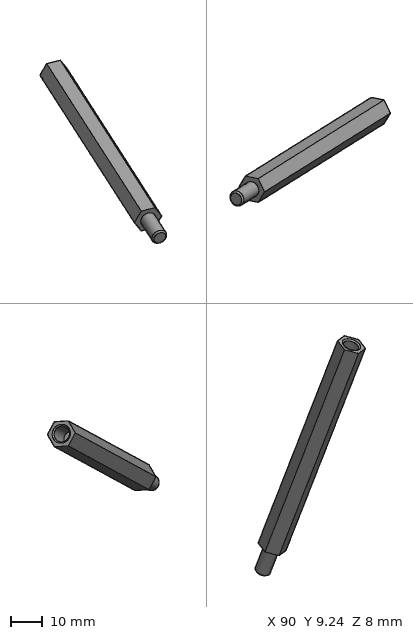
import cadquery as cq
import math

total_length = 90
stud_length = 10.0
hex_length = total_length - stud_length

hex_sides = 6
across_flats = 8.0
across_corners = across_flats / math.cos(math.pi / hex_sides)

thread_diameter = 5.0
thread_radius = thread_diameter / 2
stud_chamfer = 0.5

socket_depth = stud_length
countersink_radius = 6.0 / 2
countersink_depth = countersink_radius - thread_radius


def make_hex_body():
    """Hexagonal bar with flats at top and bottom and two corners in the XY plane."""
    return cq.Workplane("YZ").polygon(hex_sides, across_corners).extrude(hex_length)


def make_stud():
    """Round stud on the +X end of the bar, chamfered at its tip."""
    base = cq.Workplane("YZ", origin=(hex_length, 0, 0))
    stud = base.circle(thread_radius).extrude(stud_length)
    return stud.faces(">X").chamfer(stud_chamfer)


def make_socket():
    """Flat-bottomed, countersunk blind hole, as a solid to cut away."""
    half_profile = [
        (0, 0),
        (0, countersink_radius),
        (countersink_depth, thread_radius),
        (socket_depth, thread_radius),
        (socket_depth, 0),
    ]
    return cq.Workplane("XY").polyline(half_profile).close().revolve(360, (0, 0, 0), (1, 0, 0))


result = make_hex_body().union(make_stud()).cut(make_socket())